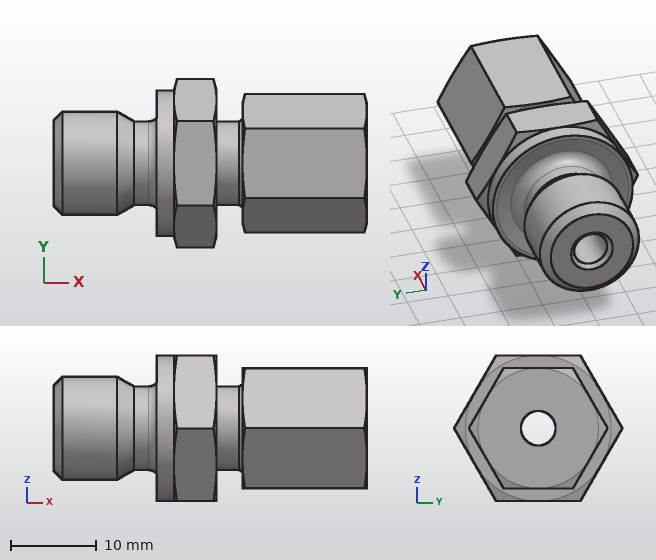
import cadquery as cq
import math


THREAD_END = 7.4
NECK_START = 9.38
FILLET_START = 11.05
FLANGE_FACE = 12.0
HEX_START = 14.0
HEX_END = 18.98
CONE_START = 21.6
NUT_START = 22.0
TOTAL_LENGTH = 36.5

THREAD_RADIUS = 6.02
TIP_CHAMFER = 1.02
NECK_RADIUS = 4.9

HEX_FLATS = 17.0
FLANGE_RADIUS = HEX_FLATS / 2
SEALING_EDGE_RADIUS = 8.0
NECK_FILLET = 1.3

BORE_RADIUS = 2.0
BORE_CHAMFER = 0.5

NUT_FLATS = 14.0
RUN_OUT_ANGLE = math.radians(30)
STUB_DEPTH = 9.85
STUB_END = NUT_START + STUB_DEPTH

HEX_CHAMFER_ANGLE = math.radians(15)

RUN_OUT_END = CONE_START + (THREAD_RADIUS - NECK_RADIUS) / math.tan(RUN_OUT_ANGLE)


def cylinder(start, end, radius):
    """Cylinder about the X axis."""
    return cq.Workplane("YZ", origin=(start, 0, 0)).circle(radius).extrude(end - start)


def chamfered_hexagon(start, end, flats):
    """Hexagonal prism along X, flats facing +Z and -Z, its corners chamfered at both ends."""
    corner_radius = flats / math.sqrt(3)
    flat_radius = flats / 2
    chamfer_length = (corner_radius - flat_radius) * math.tan(HEX_CHAMFER_ANGLE)
    prism = cq.Workplane("YZ", origin=(start, 0, 0)).polygon(6, 2 * corner_radius).extrude(end - start)
    envelope = (
        cq.Workplane("XY")
        .moveTo(start, 0)
        .lineTo(start, flat_radius)
        .lineTo(start + chamfer_length, corner_radius)
        .lineTo(end - chamfer_length, corner_radius)
        .lineTo(end, flat_radius)
        .lineTo(end, 0)
        .close()
        .revolve(360, (0, 0, 0), (1, 0, 0))
    )
    return prism.intersect(envelope)


def turned_core():
    """Round part of the body: stud, neck, hollow flange and the stub that enters the nut."""
    fillet_end = FILLET_START + NECK_FILLET
    fillet_end_radius = NECK_RADIUS + NECK_FILLET
    fillet_middle = (
        FILLET_START + NECK_FILLET * math.sin(math.pi / 4),
        fillet_end_radius - NECK_FILLET * math.cos(math.pi / 4),
    )
    return (
        cq.Workplane("XY")
        .moveTo(0, 0)
        .lineTo(0, THREAD_RADIUS - TIP_CHAMFER)
        .lineTo(TIP_CHAMFER, THREAD_RADIUS)
        .lineTo(THREAD_END, THREAD_RADIUS)
        .lineTo(NECK_START, NECK_RADIUS)
        .lineTo(FILLET_START, NECK_RADIUS)
        .threePointArc(fillet_middle, (fillet_end, fillet_end_radius))
        .lineTo(FLANGE_FACE, SEALING_EDGE_RADIUS)
        .lineTo(FLANGE_FACE, FLANGE_RADIUS)
        .lineTo(HEX_START, FLANGE_RADIUS)
        .lineTo(HEX_START, NECK_RADIUS)
        .lineTo(CONE_START, NECK_RADIUS)
        .lineTo(RUN_OUT_END, THREAD_RADIUS)
        .lineTo(STUB_END, THREAD_RADIUS)
        .lineTo(STUB_END, 0)
        .close()
        .revolve(360, (0, 0, 0), (1, 0, 0))
    )


def bore():
    """Through bore with a chamfered mouth at the tip of the stud."""
    mouth = cq.Solid.makeCone(
        BORE_RADIUS + BORE_CHAMFER, BORE_RADIUS, BORE_CHAMFER, cq.Vector(0, 0, 0), cq.Vector(1, 0, 0)
    )
    return cylinder(0, TOTAL_LENGTH, BORE_RADIUS).union(cq.Workplane(mouth))


def make_fitting_body():
    return turned_core().union(chamfered_hexagon(HEX_START, HEX_END, HEX_FLATS)).cut(bore())


def make_nut():
    socket = cylinder(NUT_START, STUB_END, THREAD_RADIUS)
    return chamfered_hexagon(NUT_START, TOTAL_LENGTH, NUT_FLATS).cut(socket).cut(bore())


fitting_body = make_fitting_body()
nut = make_nut()

result = cq.Compound.makeCompound([fitting_body.val(), nut.val()])